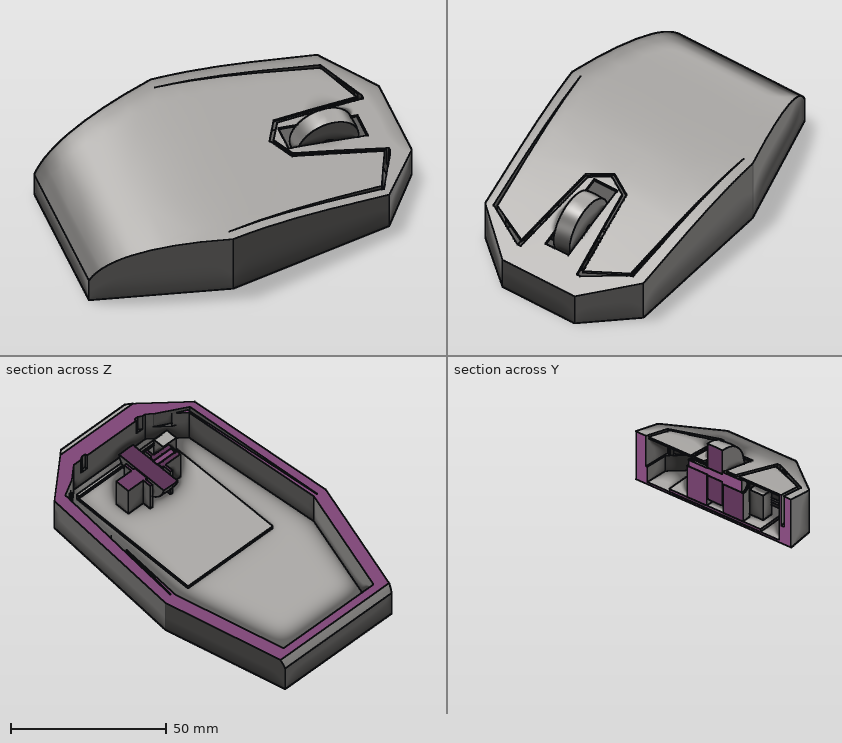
import cadquery as cq


length = 116.0
shoulder_y = 101.3
widest_y = 44.9
outline = [
    (-24.8, 0), (-35.6, widest_y), (-31.9, shoulder_y), (-15.1, length),
    (13.2, length), (30.3, shoulder_y), (35.4, widest_y), (22.4, 0),
]
front_height = 12.8
back_curve = [
    (0, 10.2), (3.6, 15.4), (7.9, 18.8), (16.2, 22.5), (24.6, 24.5), (42.9, 25.8),
    (60.3, 24.6), (81.2, 20.9), (101.5, 16.2), (length, front_height),
]
roof = 0.8
floor = 1.0
wall = 4.9
front_wall = 7.9
front_inner_y = length - front_wall

groove_tip_y = 108.9
groove_half_outer = [
    (32.0, widest_y), (27.5, 100.6), (12.3, groove_tip_y), (11.0, groove_tip_y), (6.7, 77.1), (0, 73.2),
]
groove_half_inner = [(0, 71.8), (8.0, 76.5), (12.1, 107.0), (26.2, 100.2)]
groove_floor = 7.0

window_width = 9.0
window_rear = 76.7
window_front = 104.3

wheel_y = 90.8
wheel_radius = 11.0
wheel_top = 26.3
wheel_z = wheel_top - wheel_radius
wheel_width = 6.3
wheel_crown = 0.2
thin_shaft_radius = 1.4
thick_shaft_radius = 2.4
shaft_reach = 11.0

board_thickness = 1.0
board_top = floor + board_thickness
board_half_width = 18.8
board_front = 104.6
board_rear = 52.2
rim_width = 1.0
rim_height = 1.0

bracket_inner_x = 4.0
bracket_thickness = 1.0
bracket_length = 12.3
bracket_chamfer = 1.4
bracket_rise = 0.5
bracket_top = wheel_z + bracket_rise
saddle_clearance = 0.1
saddle_inner_x = wheel_width / 2 + saddle_clearance
saddle_outer_x = 11.6
saddle_length = 5.8

switch_inner_x = 10.4
switch_outer_x = 16.2
switch_front = 99.4
switch_rear = 95.0
switch_top = 11.6
tab_inner_x = bracket_inner_x + bracket_thickness
tab_front = 97.8
tab_top = 7.0


def box(x_range, y_range, z_range):
    """Box between two limits along each axis."""
    sizes = [limits[1] - limits[0] for limits in (x_range, y_range, z_range)]
    return cq.Workplane("XY").box(*sizes, centered=False).translate(
        (x_range[0], y_range[0], z_range[0])
    )


def cylinder_x(radius, x_start, x_end):
    """Cylinder on the wheel's axis between two X positions."""
    return (
        cq.Workplane("YZ", origin=(x_start, wheel_y, wheel_z))
        .circle(radius)
        .extrude(x_end - x_start)
    )


def under_back(drop):
    """Everything between Z = 0 and the back's curve lowered by `drop`."""
    span = 2 * length
    curve = [(y, z - drop) for y, z in back_curve]
    return (
        cq.Workplane("YZ", origin=(-span / 2, 0, 0))
        .moveTo(0, 0)
        .lineTo(*curve[0])
        .spline(curve[1:], includeCurrent=True)
        .lineTo(length, 0)
        .close()
        .extrude(span)
    )


def make_cavity():
    """Hollow inside the walls, between the floor and the roof."""
    plan = (
        cq.Workplane("XY")
        .polyline(outline)
        .close()
        .offset2D(-wall, "intersection")
        .extrude(wheel_top)
    )
    limits = box((-length, length), (0, front_inner_y), (floor, wheel_top))
    return plan.intersect(limits).intersect(under_back(roof))


def make_groove():
    """Narrow slot through the roof that outlines the buttons."""
    left_outer = [(-x, y) for x, y in reversed(groove_half_outer[:-1])]
    left_inner = [(-x, y) for x, y in reversed(groove_half_inner[1:])]
    points = groove_half_outer + left_outer + left_inner + groove_half_inner
    return (
        cq.Workplane("XY", origin=(0, 0, groove_floor))
        .polyline(points)
        .close()
        .extrude(wheel_top)
    )


def make_housing():
    body = cq.Workplane("XY").polyline(outline).close().extrude(wheel_top).intersect(under_back(0))
    window = box(
        (-window_width / 2, window_width / 2), (window_rear, window_front), (floor, wheel_top)
    )
    return body.cut(make_cavity()).cut(make_groove()).cut(window)


def make_board():
    board_x = (-board_half_width, board_half_width)
    plate = box(board_x, (board_rear, board_front), (floor, board_top))
    rim = box(board_x, (board_front - rim_width, board_front), (board_top, board_top + rim_height))
    return plate.union(rim)


def make_wheel():
    half_width = wheel_width / 2
    rim_radius = wheel_radius - wheel_crown
    return (
        cq.Workplane("XZ")
        .moveTo(-half_width, thin_shaft_radius)
        .lineTo(-half_width, rim_radius)
        .threePointArc((0, wheel_radius), (half_width, rim_radius))
        .lineTo(half_width, thin_shaft_radius)
        .close()
        .revolve(360, (0, 0, 0), (1, 0, 0))
        .translate((0, wheel_y, wheel_z))
    )


def make_axle():
    thin_shaft = cylinder_x(thin_shaft_radius, -shaft_reach, wheel_width / 2)
    thick_shaft = cylinder_x(thick_shaft_radius, wheel_width / 2, shaft_reach)
    return thin_shaft.union(thick_shaft)


def make_bracket(side, shaft_radius):
    """Chamfered plate with a lower saddle across it; `side` is -1 for left and 1 for right."""
    plate = box(
        (bracket_inner_x, bracket_inner_x + bracket_thickness),
        (wheel_y - bracket_length / 2, wheel_y + bracket_length / 2),
        (board_top, bracket_top),
    ).edges("|X and >Z").chamfer(bracket_chamfer)
    saddle = box(
        (saddle_inner_x, saddle_outer_x),
        (wheel_y - saddle_length / 2, wheel_y + saddle_length / 2),
        (board_top, wheel_z),
    )
    bracket = plate.union(saddle)
    if side < 0:
        bracket = bracket.mirror("YZ")
    return bracket.cut(cylinder_x(shaft_radius, -saddle_outer_x, saddle_outer_x))


def make_switch():
    case = box((switch_inner_x, switch_outer_x), (switch_rear, switch_front), (board_top, switch_top))
    tab = box((tab_inner_x, switch_inner_x), (switch_rear, tab_front), (board_top, tab_top))
    return case.union(tab)


housing = make_housing()
board = make_board()
wheel = make_wheel()
axle = make_axle()
brackets = [
    make_bracket(side, shaft_radius)
    for side, shaft_radius in ((-1, thin_shaft_radius), (1, thick_shaft_radius))
]
switch = make_switch()

result = cq.Compound.makeCompound(
    [housing.val(), board.val(), wheel.val(), axle.val()]
    + [bracket.val() for bracket in brackets]
    + [switch.val()]
)